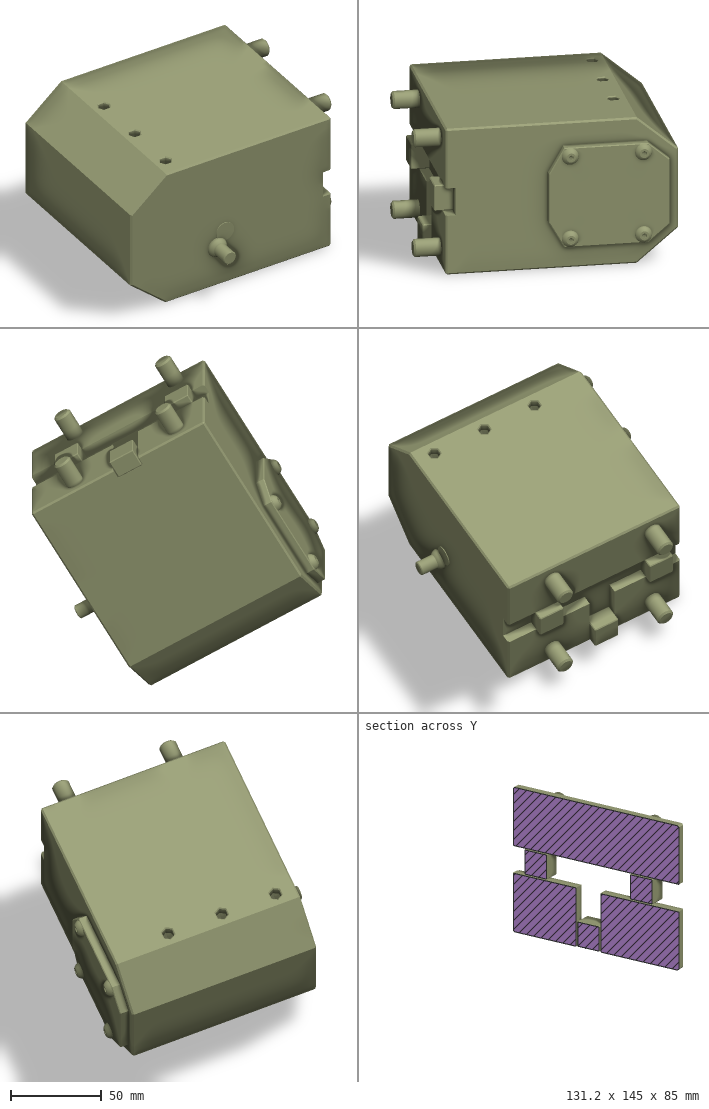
import cadquery as cq
import math


BODY_LEFT = -50.0
BODY_RIGHT = 60.0
BODY_LENGTH = 130.0
BODY_HEIGHT = 85.0
NOSE_LENGTH = 23.0
NOSE_ANGLE = 40.0
EDGE_CHAMFER = 1.0

PIN_PITCH = 64.0
PIN_DIAMETER = 10.0
PIN_LENGTH = 15.0
PIN_CHAMFER = 1.0

KEY_SIZE = 15.0
KEY_SPAN = 85.0
KEY_PROJECTION = 5.0
KEY_CHAMFER = 0.5
SLOT_WIDTH = 16.0
SLOT_DEPTH = 5.5

SOCKET_PITCH = 32.0
SOCKET_CENTRE_X = 16.0
SOCKET_Y = -100.0
SOCKET_FLATS = 6.0
SOCKET_DEPTH = 5.0
SOCKET_CHAMFER = 0.6

COVER_REAR_Y = -57.0
COVER_FRONT_Y = -124.4
COVER_HEIGHT = 58.0
COVER_THICKNESS = 5.0
COVER_CHAMFER = 0.5
COVER_FRONT_CUT = 12.0
COVER_REAR_CUT = 8.5
COVER_REAR_ANGLE = 60.0

SCREW_PITCH_Y = 41.0
SCREW_PITCH_Z = 48.0
SCREW_CENTRE_Y = -89.3
HEAD_DIAMETER = 9.5
HEAD_HEIGHT = 2.75
HEAD_FLAT_DIAMETER = 5.2
HEAD_SOCKET_FLATS = 2.6
HEAD_SOCKET_DEPTH = 1.5

TIP_SLOPE = 30.0
TIP_END_FLATS = 0.05

STUB_Y = -74.0
STUB_Z = -17.0
STUB_DIAMETER = 8.0
STUB_LENGTH = 13.44
STUB_CHAMFER = 0.5
BALL_DIAMETER = 12.3
BALL_CENTRE_DEPTH = 1.25

RETAINER_DISTANCE = 10.0
RETAINER_ANGLE = 60.0
RETAINER_DIAMETER = 11.5
RETAINER_HEIGHT = 0.5

HALF_HEIGHT = BODY_HEIGHT / 2
BODY_WIDTH = BODY_RIGHT - BODY_LEFT
OVERLAP = 1.0


def slope_rise(run, angle):
    return run * math.tan(math.radians(angle))


def hexagon_diameter(flats):
    return flats / math.cos(math.radians(30))


def make_body():
    nose_half = HALF_HEIGHT - slope_rise(NOSE_LENGTH, NOSE_ANGLE)
    nose_start = NOSE_LENGTH - BODY_LENGTH
    profile = [
        (0, -HALF_HEIGHT),
        (nose_start, -HALF_HEIGHT),
        (-BODY_LENGTH, -nose_half),
        (-BODY_LENGTH, nose_half),
        (nose_start, HALF_HEIGHT),
        (0, HALF_HEIGHT),
    ]
    body = cq.Workplane("YZ", origin=(BODY_LEFT, 0, 0)).polyline(profile).close().extrude(BODY_WIDTH)
    return body.faces("<X or >X or >Y").chamfer(EDGE_CHAMFER)


def make_slots():
    """Slot across the full width, with a branch from its middle to the bottom face."""
    across = cq.Workplane().box(BODY_WIDTH, SLOT_DEPTH, SLOT_WIDTH, centered=(False, False, True))
    across = across.translate((BODY_LEFT, -SLOT_DEPTH, 0))
    branch = cq.Workplane().box(SLOT_WIDTH, SLOT_DEPTH, HALF_HEIGHT, centered=(True, False, False))
    return across.union(branch.translate((0, -SLOT_DEPTH, -HALF_HEIGHT)))


def make_key(x, z):
    key = cq.Workplane().box(KEY_SIZE, SLOT_DEPTH + KEY_PROJECTION, KEY_SIZE, centered=(True, False, True))
    return key.edges().chamfer(KEY_CHAMFER).translate((x, -SLOT_DEPTH, z))


def make_pin(x, z):
    pin = cq.Workplane("XZ", origin=(x, 0, z)).circle(PIN_DIAMETER / 2)
    pin = pin.extrude(-PIN_LENGTH).faces(">Y").chamfer(PIN_CHAMFER)
    root = cq.Workplane("XZ", origin=(x, 0, z)).circle(PIN_DIAMETER / 2).extrude(OVERLAP)
    return pin.union(root)


def make_hexagonal_prism(bottom_flats, top_flats, height):
    """Upright hexagonal prism or frustum on z = 0 with corners along Y."""
    corner_turn = (0, 0, 90)
    prism = cq.Workplane().transformed(rotate=corner_turn).polygon(6, hexagon_diameter(bottom_flats))
    prism = prism.workplane(offset=height).polygon(6, hexagon_diameter(top_flats))
    return prism.loft(ruled=True)


def make_hexagonal_socket(flats, depth):
    """Hexagonal socket below z = 0 with a six-sided pointed floor."""
    tip_height = slope_rise((flats - TIP_END_FLATS) / 2, TIP_SLOPE)
    walls = make_hexagonal_prism(flats, flats, depth).translate((0, 0, -depth))
    tip = make_hexagonal_prism(TIP_END_FLATS, flats, tip_height)
    return walls.union(tip.translate((0, 0, -depth - tip_height)))


def make_clamp_socket(x):
    mouth = make_hexagonal_prism(SOCKET_FLATS, SOCKET_FLATS + 2 * SOCKET_CHAMFER, SOCKET_CHAMFER)
    socket = make_hexagonal_socket(SOCKET_FLATS, SOCKET_DEPTH)
    socket = socket.union(mouth.translate((0, 0, -SOCKET_CHAMFER)))
    return socket.translate((x, SOCKET_Y, HALF_HEIGHT))


def make_cover():
    half = COVER_HEIGHT / 2
    front_half = half - slope_rise(COVER_FRONT_CUT, NOSE_ANGLE)
    rear_half = half - slope_rise(COVER_REAR_CUT, COVER_REAR_ANGLE)
    profile = [
        (COVER_REAR_Y, -rear_half),
        (COVER_REAR_Y - COVER_REAR_CUT, -half),
        (COVER_FRONT_Y + COVER_FRONT_CUT, -half),
        (COVER_FRONT_Y, -front_half),
        (COVER_FRONT_Y, front_half),
        (COVER_FRONT_Y + COVER_FRONT_CUT, half),
        (COVER_REAR_Y - COVER_REAR_CUT, half),
        (COVER_REAR_Y, rear_half),
    ]
    cover = cq.Workplane("YZ", origin=(BODY_LEFT, 0, 0)).polyline(profile).close().extrude(-COVER_THICKNESS)
    return cover.faces("<X").chamfer(COVER_CHAMFER)


def make_cover_screw(y, z):
    """Domed head pointing toward -X with a hexagonal socket."""
    radius = HEAD_DIAMETER / 2
    flat = HEAD_FLAT_DIAMETER / 2
    centre = (HEAD_HEIGHT**2 + flat**2 - radius**2) / (2 * HEAD_HEIGHT)
    dome = math.hypot(radius, centre)
    mid_angle = (math.atan2(-centre, radius) + math.atan2(HEAD_HEIGHT - centre, flat)) / 2
    mid_point = (-centre - dome * math.sin(mid_angle), dome * math.cos(mid_angle))
    head = (
        cq.Workplane("XY")
        .moveTo(0, 0)
        .lineTo(0, radius)
        .threePointArc(mid_point, (-HEAD_HEIGHT, flat))
        .lineTo(-HEAD_HEIGHT, 0)
        .close()
        .revolve(360, (0, 0), (1, 0))
    )
    socket = make_hexagonal_socket(HEAD_SOCKET_FLATS, HEAD_SOCKET_DEPTH)
    socket = socket.rotate((0, 0, 0), (0, 0, 1), 90).rotate((0, 0, 0), (0, 1, 0), -90)
    head = head.cut(socket.translate((-HEAD_HEIGHT, 0, 0)))
    return head.translate((BODY_LEFT - COVER_THICKNESS, y, z))


def make_stub():
    """Ball and stub turned as one piece about an axis along X."""
    stub_radius = STUB_DIAMETER / 2
    ball_radius = BALL_DIAMETER / 2
    tip = BALL_CENTRE_DEPTH + STUB_LENGTH
    neck = math.sqrt(ball_radius**2 - stub_radius**2)
    nozzle = (
        cq.Workplane("XY")
        .moveTo(-ball_radius, 0)
        .threePointArc((0, ball_radius), (neck, stub_radius))
        .lineTo(tip - STUB_CHAMFER, stub_radius)
        .lineTo(tip, stub_radius - STUB_CHAMFER)
        .lineTo(tip, 0)
        .close()
        .revolve(360, (0, 0), (1, 0))
    )
    return nozzle.translate((BODY_RIGHT - BALL_CENTRE_DEPTH, STUB_Y, STUB_Z))


def make_retainer():
    angle = math.radians(RETAINER_ANGLE)
    y = STUB_Y + RETAINER_DISTANCE * math.cos(angle)
    z = STUB_Z + RETAINER_DISTANCE * math.sin(angle)
    return cq.Workplane("YZ", origin=(BODY_RIGHT, y, z)).circle(RETAINER_DIAMETER / 2).extrude(RETAINER_HEIGHT)


result = make_body().cut(make_slots())

key_offset = (KEY_SPAN - KEY_SIZE) / 2
for key_x, key_z in [(-key_offset, 0), (key_offset, 0), (0, -key_offset)]:
    result = result.union(make_key(key_x, key_z))

for side_x in (-1, 1):
    for side_z in (-1, 1):
        result = result.union(make_pin(side_x * PIN_PITCH / 2, side_z * PIN_PITCH / 2))

for step in (-1, 0, 1):
    result = result.cut(make_clamp_socket(SOCKET_CENTRE_X + step * SOCKET_PITCH))

result = result.union(make_cover())
for side_y in (-1, 1):
    for side_z in (-1, 1):
        screw_y = SCREW_CENTRE_Y + side_y * SCREW_PITCH_Y / 2
        result = result.union(make_cover_screw(screw_y, side_z * SCREW_PITCH_Z / 2))

result = result.union(make_stub()).union(make_retainer())